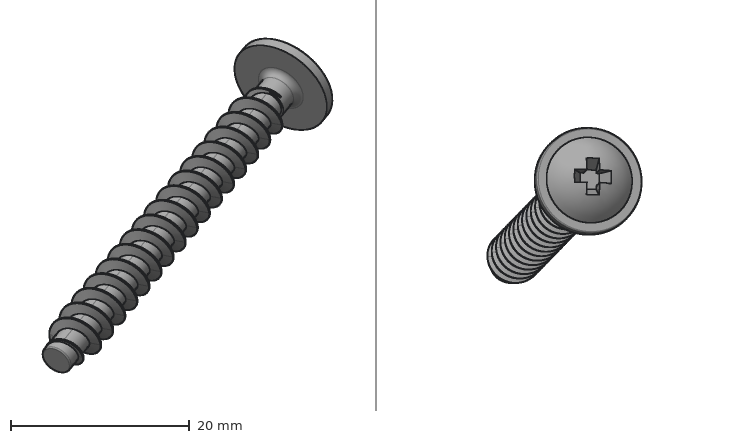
import cadquery as cq
import math


HEAD_HEIGHT = 3.95
FLANGE_DIAMETER = 12.0
FLANGE_THICKNESS = 1.36
FLANGE_EDGE_RADIUS = 0.15
DOME_DIAMETER = 9.76

RECESS_DIAMETER = 4.6
RECESS_FLOOR_DIAMETER = 2.2
RECESS_DEPTH = 2.3
WING_WIDTH = 1.45

SHANK_LENGTH = 50.0
NECK_DIAMETER = 4.2
NECK_LENGTH = 3.0
NECK_FILLET_RADIUS = 0.8
CORE_DIAMETER = 3.66
TIP_RADIUS = 0.15

THREAD_DIAMETER = 6.1
PITCH = 2.69
CREST_WIDTH = 0.22
FLANK_ANGLE = 15.0
PROFILE_HEIGHT = 1.4
THREAD_START = 2.24
THREAD_TURNS = 17.5
RUN_IN_TURNS = 0.9
RUN_OUT_TURNS = 1.25
START_CREST_RADIUS = 1.95
END_CREST_RADIUS = 1.81
SEGMENT_TURNS = 0.5
POINTS_PER_SEGMENT = 12


def make_head_and_shank():
    """Revolved body: domed head with flange, neck, and plain core."""
    flange_radius = FLANGE_DIAMETER / 2
    dome_radius = DOME_DIAMETER / 2
    neck_radius = NECK_DIAMETER / 2
    core_radius = CORE_DIAMETER / 2
    dome_rise = HEAD_HEIGHT - FLANGE_THICKNESS
    sphere_radius = (dome_radius**2 + dome_rise**2) / (2 * dome_rise)
    corner = 1 - math.sqrt(0.5)

    half_angle = math.asin(dome_radius / sphere_radius) / 2
    dome_middle = (
        sphere_radius * math.sin(half_angle),
        HEAD_HEIGHT - sphere_radius * (1 - math.cos(half_angle)),
    )
    fillet_middle = (
        neck_radius + NECK_FILLET_RADIUS * corner,
        -NECK_FILLET_RADIUS * corner,
    )
    edge_middle = (
        flange_radius - FLANGE_EDGE_RADIUS * corner,
        FLANGE_THICKNESS - FLANGE_EDGE_RADIUS * corner,
    )
    tip_middle = (
        core_radius - TIP_RADIUS * corner,
        -SHANK_LENGTH + TIP_RADIUS * corner,
    )
    profile = (
        cq.Workplane("ZY")
        .moveTo(0, HEAD_HEIGHT)
        .threePointArc(dome_middle, (dome_radius, FLANGE_THICKNESS))
        .lineTo(flange_radius - FLANGE_EDGE_RADIUS, FLANGE_THICKNESS)
        .threePointArc(edge_middle, (flange_radius, FLANGE_THICKNESS - FLANGE_EDGE_RADIUS))
        .lineTo(flange_radius, 0)
        .lineTo(neck_radius + NECK_FILLET_RADIUS, 0)
        .threePointArc(fillet_middle, (neck_radius, -NECK_FILLET_RADIUS))
        .lineTo(neck_radius, -NECK_LENGTH)
        .lineTo(core_radius, -NECK_LENGTH)
        .lineTo(core_radius, -SHANK_LENGTH + TIP_RADIUS)
        .threePointArc(tip_middle, (core_radius - TIP_RADIUS, -SHANK_LENGTH))
        .lineTo(0, -SHANK_LENGTH)
        .close()
    )
    return profile.revolve(360, (0, 0, 0), (0, 1, 0))


def make_cross_recess():
    """Two crossed wings whose tips slope inwards to the recess floor."""
    floor = HEAD_HEIGHT - RECESS_DEPTH
    top_half = RECESS_DIAMETER / 2
    floor_half = RECESS_FLOOR_DIAMETER / 2
    wing = (
        cq.Workplane("XY")
        .polyline([
            (-floor_half, floor),
            (floor_half, floor),
            (top_half, HEAD_HEIGHT),
            (-top_half, HEAD_HEIGHT),
        ])
        .close()
        .extrude(WING_WIDTH / 2, both=True)
    )
    return wing.union(wing.rotate((0, 0, 0), (0, 1, 0), 90))


def crest_radius(turn):
    """Crest radius after a number of turns, rising and sinking evenly at the two ends."""
    full_radius = THREAD_DIAMETER / 2
    run_in = min(1, turn / RUN_IN_TURNS)
    run_out = min(1, (THREAD_TURNS - turn) / RUN_OUT_TURNS)
    start_drop = (full_radius - START_CREST_RADIUS) * (1 - run_in)
    end_drop = (full_radius - END_CREST_RADIUS) * (1 - run_out)
    return full_radius - start_drop - end_drop


def helical_edge(first_turn, depth, axial_offset):
    """Edge of one thread segment at a depth below the crest, shifted along the axis."""
    points = []
    for step in range(POINTS_PER_SEGMENT + 1):
        turn = first_turn + SEGMENT_TURNS * step / POINTS_PER_SEGMENT
        angle = 2 * math.pi * turn
        radius = crest_radius(turn) - depth
        y = axial_offset - THREAD_START - PITCH * turn
        points.append(cq.Vector(radius * math.cos(angle), y, radius * math.sin(angle)))
    return cq.Edge.makeSpline(points)


def make_thread_segment(first_turn):
    """Trapezoidal thread segment bounded by ruled surfaces between helical edges."""
    crest_half = CREST_WIDTH / 2
    root_half = crest_half + PROFILE_HEIGHT * math.tan(math.radians(FLANK_ANGLE))
    edges = [
        helical_edge(first_turn, 0, crest_half),
        helical_edge(first_turn, 0, -crest_half),
        helical_edge(first_turn, PROFILE_HEIGHT, -root_half),
        helical_edge(first_turn, PROFILE_HEIGHT, root_half),
    ]
    faces = []
    for index, edge in enumerate(edges):
        next_edge = edges[(index + 1) % len(edges)]
        faces.append(cq.Face.makeRuledSurface(edge, next_edge))
    for end_points in ([e.startPoint() for e in edges], [e.endPoint() for e in edges]):
        faces.append(cq.Face.makeFromWires(cq.Wire.makePolygon(end_points, close=True)))
    return cq.Solid.makeSolid(cq.Shell.makeShell(faces)).fix()


def make_thread():
    """All thread segments, end to end, from the neck to the tip."""
    segment_count = round(THREAD_TURNS / SEGMENT_TURNS)
    segments = [make_thread_segment(index * SEGMENT_TURNS) for index in range(segment_count)]
    return cq.Workplane("XY").newObject(segments)


body = make_head_and_shank().cut(make_cross_recess())
threaded_body = body.union(make_thread())
result = cq.Workplane("XY").newObject([threaded_body.solids().val()])